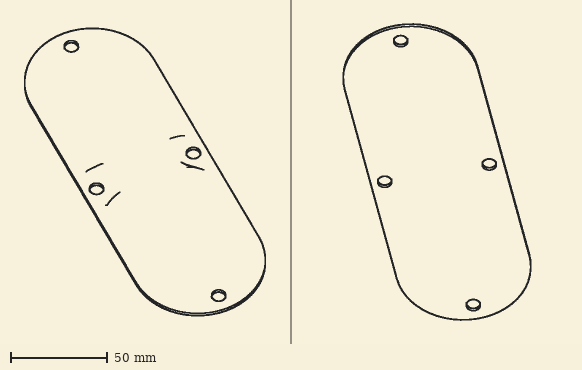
import cadquery as cq
import math

plate_length = 200.2
plate_width = 70.7
plate_thickness = 2.0

hole_diameter = 7.5
end_hole_x = 90.7
side_hole_y = 27.8

total_height = 7.0
dome_height = total_height - plate_thickness
crown_half_length = 57.0
crown_half_width = 15.5
crown_corner_x = 48.5
foot_half_length = 82.5
foot_half_width = 28.0
foot_corner_x = 56.5
foot_fillet = 1.5
section_count = 7
edge_tolerance = 0.1

notch_radius = 8.5
notch_flare_angle = 45.0
notch_rim_radius = 7.6
notch_rim_overshoot = 0.05
notch_mouth_y = 40.0


def flank_drop(side_run):
    """Depth below the crown of a side arc that is tangent to the crown."""
    full_run = foot_half_width - crown_half_width
    arc_radius = (full_run**2 + dome_height**2) / (2 * dome_height)
    return arc_radius - math.sqrt(arc_radius**2 - side_run**2)


def dome_section(progress):
    """Horizontal dome outline, from crown (progress 0) to foot (progress 1)."""
    side_run = progress * (foot_half_width - crown_half_width)
    half_width = crown_half_width + side_run
    half_length = crown_half_length + progress * (foot_half_length - crown_half_length)
    corner_growth = math.sin(progress * math.pi / 2)
    corner_x = crown_corner_x + corner_growth * (foot_corner_x - crown_corner_x)
    return (
        cq.Workplane("XY", origin=(0, 0, total_height - flank_drop(side_run)))
        .moveTo(-corner_x, -half_width)
        .lineTo(corner_x, -half_width)
        .threePointArc((half_length, 0), (corner_x, half_width))
        .lineTo(-corner_x, half_width)
        .threePointArc((-half_length, 0), (-corner_x, -half_width))
        .close()
        .val()
    )


def make_plate():
    return (
        cq.Workplane("XY")
        .slot2D(plate_length, plate_width)
        .extrude(plate_thickness)
    )


def make_dome():
    sections = [dome_section(1 - i / (section_count - 1)) for i in range(section_count)]
    return cq.Workplane(cq.Solid.makeLoft(sections))


def make_notched_block():
    """Block around the dome with both flared notches and rounded top rims.

    It stands slightly above the crown, so the rounded rims cross the crown cleanly.
    """
    flare = math.radians(notch_flare_angle)
    tangent_x = notch_radius * math.sin(flare)
    tangent_y = side_hole_y - notch_radius * math.cos(flare)
    mouth_x = tangent_x + (notch_mouth_y - tangent_y) / math.tan(flare)
    half_length = plate_length / 2
    block_height = 2 * notch_rim_radius
    block_bottom = total_height + notch_rim_overshoot - block_height
    return (
        cq.Workplane("XY", origin=(0, 0, block_bottom))
        .moveTo(-half_length, -notch_mouth_y)
        .lineTo(-mouth_x, -notch_mouth_y)
        .lineTo(-tangent_x, -tangent_y)
        .threePointArc((0, notch_radius - side_hole_y), (tangent_x, -tangent_y))
        .lineTo(mouth_x, -notch_mouth_y)
        .lineTo(half_length, -notch_mouth_y)
        .lineTo(half_length, notch_mouth_y)
        .lineTo(mouth_x, notch_mouth_y)
        .lineTo(tangent_x, tangent_y)
        .threePointArc((0, side_hole_y - notch_radius), (-tangent_x, tangent_y))
        .lineTo(-mouth_x, notch_mouth_y)
        .lineTo(-half_length, notch_mouth_y)
        .close()
        .extrude(block_height)
        .faces(">Z")
        .edges()
        .fillet(notch_rim_radius)
    )


def make_holes():
    centres = [(end_hole_x, 0), (-end_hole_x, 0), (0, side_hole_y), (0, -side_hole_y)]
    return cq.Workplane("XY").pushPoints(centres).circle(hole_diameter / 2).extrude(total_height)


def round_foot(body):
    """Fillet the concave edge where the dome and notches meet the plate."""
    low_corner = (
        -foot_half_length - edge_tolerance,
        -foot_half_width - edge_tolerance,
        plate_thickness - edge_tolerance,
    )
    high_corner = (
        foot_half_length + edge_tolerance,
        foot_half_width + edge_tolerance,
        plate_thickness + edge_tolerance,
    )
    foot_zone = cq.selectors.BoxSelector(low_corner, high_corner, boundingbox=True)
    return body.edges(foot_zone).fillet(foot_fillet)


notched_dome = make_dome().intersect(make_notched_block())
cover = round_foot(make_plate().union(notched_dome))
result = cover.cut(make_holes())